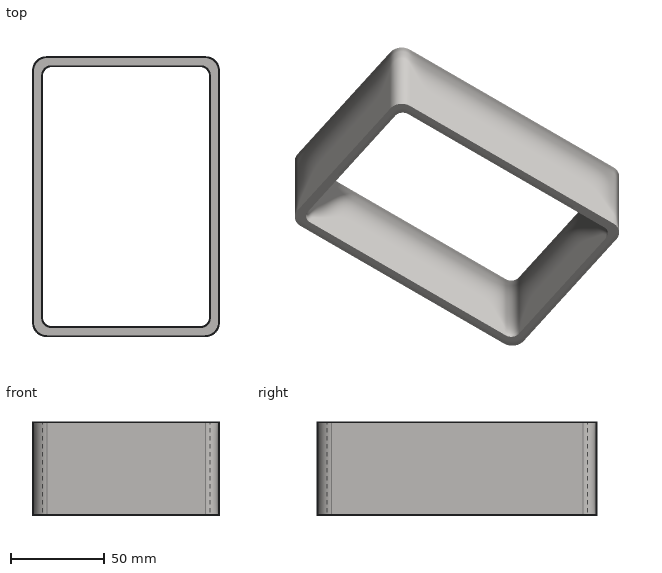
import cadquery as cq

width = 100.0
length = 150.0
height = 50.0

wall = 5.0
outer_corner_radius = 7.5
inner_corner_radius = 5.0


def rounded_block(size_x, size_y, corner_radius):
    """Full-height block with rounded vertical edges, standing on Z = 0."""
    block = cq.Workplane("XY").rect(size_x, size_y).extrude(height)
    return block.edges("|Z").fillet(corner_radius)


outer_body = rounded_block(width, length, outer_corner_radius)
opening = rounded_block(width - 2 * wall, length - 2 * wall, inner_corner_radius)

result = outer_body.cut(opening)